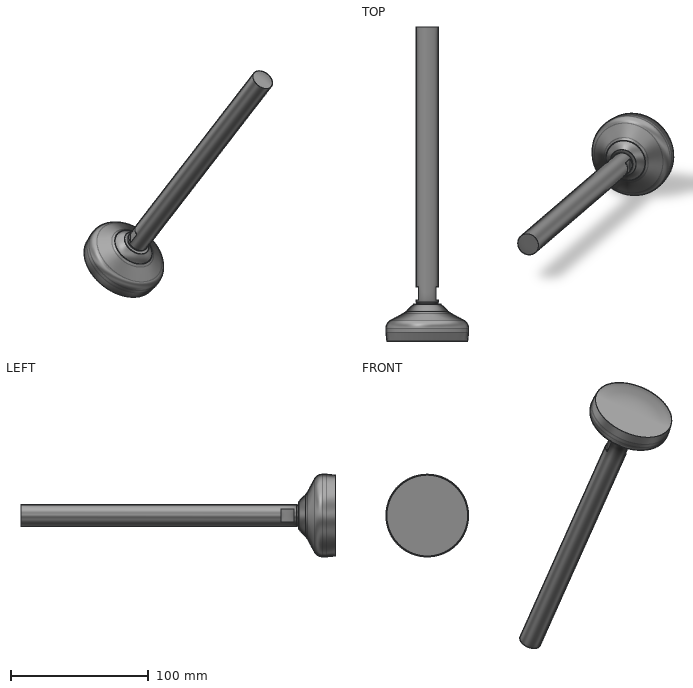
import cadquery as cq
import math

TOTAL_LENGTH = 228.0

BALL_RADIUS = 18.2
BALL_CENTER = 11.3
RIM_RADIUS = 9.9
BALL_TOP = 27.0

STUD_RADIUS = 8.0
STUD_CHAMFER = 0.6
CHAMFER_HEIGHT = 1.3
FLAT_WIDTH = 13.0
FLAT_START = 30.0
FLAT_LENGTH = 9.5

FOOT_RADIUS = 30.0
SOLE_RADIUS = 29.3
TAPER_TOP = 6.4
BAND_TOP = 9.4
SHOULDER_RADIUS = 6.6
CONE_ANGLE = math.radians(62.0)
COLLAR_RADIUS = 17.0
FOOT_TOP = 21.6
FOOT_TOP_RADIUS = 15.3


def revolve_profile(profile):
    """Close a (radius, height) outline and revolve it about the Y axis."""
    return profile.close().revolve(360, (0, 0, 0), (0, 1, 0))


def ball_radius_at(height):
    return math.sqrt(BALL_RADIUS**2 - (height - BALL_CENTER) ** 2)


def ball_point(angle):
    """Point of the ball outline at an angle above its equator."""
    return (BALL_RADIUS * math.cos(angle), BALL_CENTER + BALL_RADIUS * math.sin(angle))


def shoulder_point(angle):
    """Point of the foot's rounded shoulder at an angle above the band."""
    return (
        FOOT_RADIUS - SHOULDER_RADIUS + SHOULDER_RADIUS * math.cos(angle),
        BAND_TOP + SHOULDER_RADIUS * math.sin(angle),
    )


def make_foot():
    cone_radius, cone_height = shoulder_point(CONE_ANGLE)
    collar_height = cone_height + (cone_radius - COLLAR_RADIUS) / math.tan(CONE_ANGLE)
    mouth_angle = math.asin((FOOT_TOP - BALL_CENTER) / BALL_RADIUS)

    profile = (
        cq.Workplane("ZY")
        .lineTo(SOLE_RADIUS, 0)
        .lineTo(FOOT_RADIUS, TAPER_TOP)
        .lineTo(FOOT_RADIUS, BAND_TOP)
        .threePointArc(shoulder_point(CONE_ANGLE / 2), (cone_radius, cone_height))
        .lineTo(COLLAR_RADIUS, collar_height)
        .lineTo(FOOT_TOP_RADIUS, FOOT_TOP)
        .lineTo(ball_radius_at(FOOT_TOP), FOOT_TOP)
        .threePointArc(ball_point(mouth_angle / 2), ball_point(0))
        .lineTo(0, BALL_CENTER)
    )
    return revolve_profile(profile)


def cut_wrench_flats(stud):
    cutter = cq.Workplane("XY").box(STUD_RADIUS, FLAT_LENGTH, 2 * STUD_RADIUS)
    for side in (-1, 1):
        cutter_x = side * (FLAT_WIDTH + STUD_RADIUS) / 2
        stud = stud.cut(cutter.translate((cutter_x, FLAT_START + FLAT_LENGTH / 2, 0)))
    return stud


def make_ball_stud():
    rim_angle = math.acos(RIM_RADIUS / BALL_RADIUS)

    profile = (
        cq.Workplane("ZY")
        .moveTo(0, BALL_CENTER)
        .lineTo(BALL_RADIUS, BALL_CENTER)
        .threePointArc(ball_point(rim_angle / 2), ball_point(rim_angle))
        .lineTo(RIM_RADIUS, BALL_TOP)
        .lineTo(STUD_RADIUS - STUD_CHAMFER, BALL_TOP)
        .lineTo(STUD_RADIUS, BALL_TOP + CHAMFER_HEIGHT)
        .lineTo(STUD_RADIUS, TOTAL_LENGTH)
        .lineTo(0, TOTAL_LENGTH)
    )
    return cut_wrench_flats(revolve_profile(profile))


foot = make_foot()
ball_stud = make_ball_stud()

result = cq.Compound.makeCompound([foot.val(), ball_stud.val()])